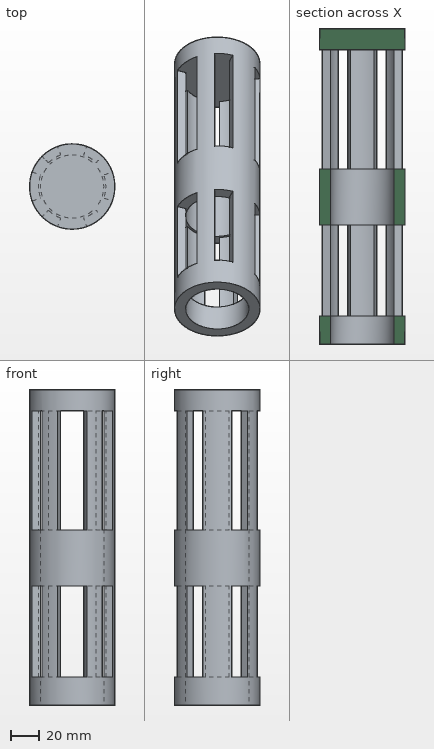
import cadquery as cq
import math

height = 225.0
outer_diameter = 61.0
bore_diameter = 45.0
cap_thickness = 15.0

chamber_diameter = 48.0

window_rows = [(20.2, 85.0), (125.0, 210.0)]

wide_half_angle = 20.0
narrow_start = 20.0
narrow_end = 45.0
windows_facing_y = [
    (narrow_start, narrow_end),
    (90.0 - wide_half_angle, 90.0 + wide_half_angle),
    (180.0 - narrow_end, 180.0 - narrow_start),
]


def cylinder(diameter, bottom, top):
    """Upright cylinder on the tube axis between two heights."""
    return cq.Workplane("XY").workplane(offset=bottom).circle(diameter / 2).extrude(top - bottom)


def window_cutter(start_angle, end_angle, bottom, top):
    """Wedge with radial sides that reaches from the axis past the tube wall."""
    reach = outer_diameter

    def point_at(angle):
        return (reach * math.cos(math.radians(angle)), reach * math.sin(math.radians(angle)))

    return (
        cq.Workplane("XY")
        .workplane(offset=bottom)
        .moveTo(0, 0)
        .lineTo(*point_at(start_angle))
        .threePointArc(point_at((start_angle + end_angle) / 2), point_at(end_angle))
        .close()
        .extrude(top - bottom)
    )


result = cylinder(outer_diameter, 0, height)
result = result.cut(cylinder(bore_diameter, 0, height - cap_thickness))

for row_bottom, row_top in window_rows:
    result = result.cut(cylinder(chamber_diameter, row_bottom, row_top))
    for side_rotation in (0.0, 180.0):
        for start, end in windows_facing_y:
            cutter = window_cutter(start + side_rotation, end + side_rotation, row_bottom, row_top)
            result = result.cut(cutter)